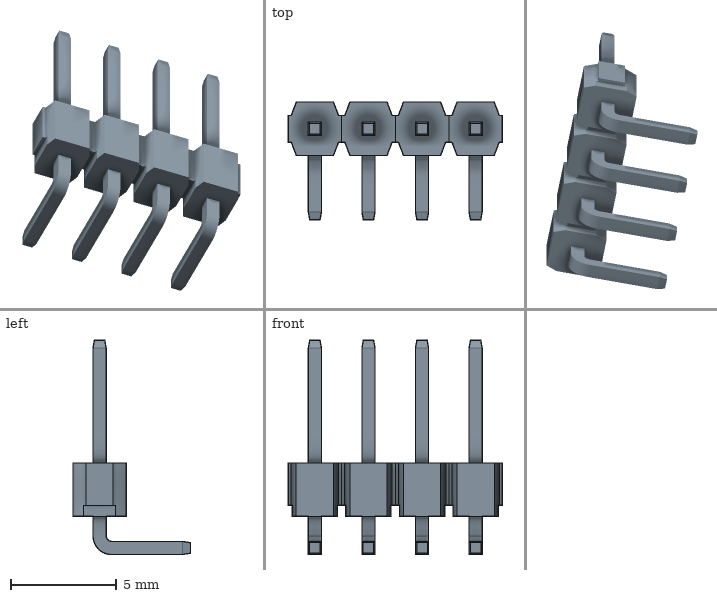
import cadquery as cq

pin_count = 4
pitch = 2.54

housing_depth = pitch
housing_height = pitch
front_face_width = 1.77
shoulder_width = 2.25
tab_depth = 1.28
notch_height = 0.53
notch_width = 2.16

pin_width = 0.635
pin_top = 8.36
pin_bottom = -1.81
pin_reach = 4.32
inner_bend_radius = 0.26
outer_bend_radius = inner_bend_radius + pin_width
tip_length = 0.38
tip_width = 0.5


def housing_outline():
    """Plan of one segment: flat front and back, slanted corners, side tabs."""
    quarter = [
        (pitch / 2, tab_depth / 2),
        (shoulder_width / 2, tab_depth / 2),
        (front_face_width / 2, housing_depth / 2),
    ]
    back = quarter + [(-x, y) for x, y in reversed(quarter)]
    front = [(-x, -y) for x, y in back]
    return back + front


def make_housing(x):
    """One housing segment with relieved lower sides and a square pin hole."""
    body = cq.Workplane("XY").polyline(housing_outline()).close().extrude(housing_height)
    lower_body = cq.Workplane("XY").box(
        notch_width, housing_depth, notch_height, centered=(True, True, False)
    )
    upper_body = (
        cq.Workplane("XY")
        .workplane(offset=notch_height)
        .rect(pitch, housing_depth)
        .extrude(housing_height - notch_height)
    )
    body = body.intersect(lower_body.union(upper_body))
    pin_hole = cq.Workplane("XY").rect(pin_width, pin_width).extrude(housing_height)
    return body.cut(pin_hole).translate((x, 0, 0))


def make_tip(base_plane):
    """Tapered square end, growing along the normal of the given plane."""
    return (
        cq.Workplane(base_plane)
        .rect(pin_width, pin_width)
        .workplane(offset=tip_length)
        .rect(tip_width, tip_width)
        .loft(ruled=True)
    )


def make_pin(x):
    """One bent pin with a tapered tip at each end."""
    half = pin_width / 2
    leg_end = pin_top - tip_length
    foot_end = tip_length - pin_reach
    foot_top = pin_bottom + pin_width

    strip = (
        cq.Workplane("YZ")
        .moveTo(half, leg_end)
        .lineTo(half, pin_bottom + outer_bend_radius)
        .radiusArc((half - outer_bend_radius, pin_bottom), outer_bend_radius)
        .lineTo(foot_end, pin_bottom)
        .lineTo(foot_end, foot_top)
        .lineTo(-half - inner_bend_radius, foot_top)
        .radiusArc((-half, foot_top + inner_bend_radius), -inner_bend_radius)
        .lineTo(-half, leg_end)
        .close()
        .extrude(half, both=True)
    )
    leg_tip = make_tip(cq.Plane(origin=(0, 0, leg_end), xDir=(1, 0, 0), normal=(0, 0, 1)))
    foot_center = pin_bottom + half
    foot_tip = make_tip(cq.Plane(origin=(0, foot_end, foot_center), xDir=(1, 0, 0), normal=(0, -1, 0)))
    return strip.union(leg_tip).union(foot_tip).translate((x, 0, 0))


positions = [(i - (pin_count - 1) / 2) * pitch for i in range(pin_count)]
housings = [make_housing(x) for x in positions]
pins = [make_pin(x) for x in positions]

result = cq.Compound.makeCompound([body.val() for body in housings + pins])